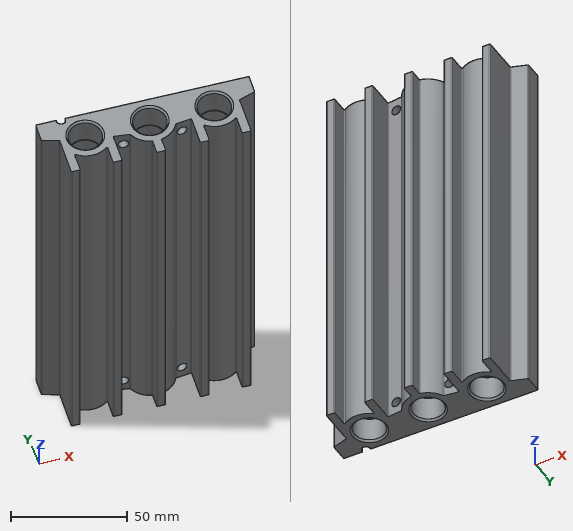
import cadquery as cq
import math

WIDTH = 95.5
DEPTH = 29.0
LENGTH = 175.0
HALF_WIDTH = WIDTH / 2
BACK = DEPTH / 2
FRONT = -DEPTH / 2

BORE_PITCH = 28.9
BORE_Y = BACK - 11.4
BOSS_RADIUS = 11.4
BORE_DIAMETER = 14.2
COUNTERBORE_DIAMETER = 14.9
COUNTERBORE_DEPTH = 12.2
MOUTH_DIAMETER = 16.6
MOUTH_DEPTH = (MOUTH_DIAMETER - COUNTERBORE_DIAMETER) / 2
BORE_XS = [-BORE_PITCH, 0, BORE_PITCH]

FIN_THICKNESS = 4.0
FIN_OFFSET = BOSS_RADIUS - FIN_THICKNESS / 2
FIN_XS = [0] + [side * BORE_PITCH + step for side in (-1, 1) for step in (-FIN_OFFSET, FIN_OFFSET)]

WING_EDGE_THICKNESS = 8.8
WING_SLOPE = math.tan(math.radians(18))
WEB_EDGE_THICKNESS = 15.4
WEB_SLOPE = math.tan(math.radians(7))

CORNER_ROUND = 0.5
ROOT_ROUND = 0.4

GROOVE_X = -36.5
GROOVE_DIAMETER = 4.0
GROOVE_CENTRE_DEPTH = 0.5

HOLE_DIAMETER = 4.5
HOLE_X = 13.1
HOLE_END_DISTANCE = 6.1


def make_base():
    """Extrude the plate that joins the bosses, including wings and webs."""
    outer_x = BORE_PITCH + BOSS_RADIUS
    inner_x = BORE_PITCH - BOSS_RADIUS
    wing_edge_y = BACK - WING_EDGE_THICKNESS
    wing_root_y = wing_edge_y - (HALF_WIDTH - outer_x) * WING_SLOPE
    web_edge_y = BACK - WEB_EDGE_THICKNESS
    web_middle_y = web_edge_y - inner_x * WEB_SLOPE
    right_half = [
        (0, BACK),
        (HALF_WIDTH, BACK),
        (HALF_WIDTH, wing_edge_y),
        (outer_x, wing_root_y),
        (outer_x, BORE_Y),
        (inner_x, BORE_Y),
        (inner_x, web_edge_y),
        (0, web_middle_y),
    ]
    right = cq.Workplane("XY").polyline(right_half).close().extrude(LENGTH)
    return right.union(right.mirror("YZ"))


def make_fin(x):
    """Make one fin reaching from the bore axis to the front."""
    fin = cq.Workplane("XY").box(FIN_THICKNESS, BORE_Y - FRONT, LENGTH, centered=(True, False, False))
    return fin.translate((x, FRONT, 0))


def make_bore(x):
    """Make the cutter for one through bore, counterbored and chamfered at both ends."""
    core_radius = BORE_DIAMETER / 2
    counterbore_radius = COUNTERBORE_DIAMETER / 2
    mouth_radius = MOUTH_DIAMETER / 2
    half_section = [
        (0, 0),
        (mouth_radius, 0),
        (counterbore_radius, MOUTH_DEPTH),
        (counterbore_radius, COUNTERBORE_DEPTH),
        (core_radius, COUNTERBORE_DEPTH),
        (core_radius, LENGTH - COUNTERBORE_DEPTH),
        (counterbore_radius, LENGTH - COUNTERBORE_DEPTH),
        (counterbore_radius, LENGTH - MOUTH_DEPTH),
        (mouth_radius, LENGTH),
        (0, LENGTH),
    ]
    cutter = cq.Workplane("XZ").polyline(half_section).close().revolve(360, (0, 0), (0, 1))
    return cutter.translate((x, BORE_Y, 0))


bosses = cq.Workplane("XY").pushPoints([(x, BORE_Y) for x in BORE_XS]).circle(BOSS_RADIUS).extrude(LENGTH)
body = make_base().union(bosses)
for fin_x in FIN_XS:
    body = body.union(make_fin(fin_x))

outer_edges = "|Z and (<Y or <X or >X)"
inner_edges = f"|Z exc ({outer_edges})"
body = body.edges(inner_edges).fillet(ROOT_ROUND)
body = body.edges(outer_edges).fillet(CORNER_ROUND)

for bore_x in BORE_XS:
    body = body.cut(make_bore(bore_x))

groove = (
    cq.Workplane("XY")
    .center(GROOVE_X, BACK - GROOVE_CENTRE_DEPTH)
    .circle(GROOVE_DIAMETER / 2)
    .extrude(LENGTH)
)
body = body.cut(groove)

hole_zs = (HOLE_END_DISTANCE, LENGTH - HOLE_END_DISTANCE)
hole_points = [(x, z) for x in (-HOLE_X, HOLE_X) for z in hole_zs]
holes = (
    cq.Workplane("XZ", origin=(0, BACK, 0))
    .pushPoints(hole_points)
    .circle(HOLE_DIAMETER / 2)
    .extrude(DEPTH)
)
body = body.cut(holes)

result = body.translate((0, 0, -LENGTH / 2))